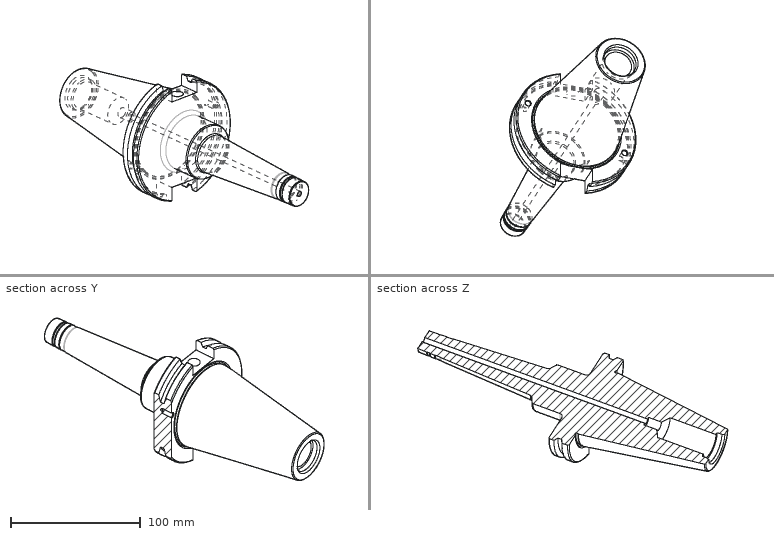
import cadquery as cq
import math

TAPER_RATIO = 7 / 24
GAUGE_X = 101.6
GAUGE_RADIUS = 35.0
SMALL_END_RADIUS = GAUGE_RADIUS - TAPER_RATIO * GAUGE_X / 2
SMALL_END_CHAMFER = 0.8
NECK_X = 102.5
NECK_RADIUS = 69.2 / 2

FLANGE_X = 103.2
FLANGE_WIDTH = 17.5
FLANGE_END_X = FLANGE_X + FLANGE_WIDTH
FLANGE_RADIUS = 49.0
FLANGE_CHAMFER = 1.0
GROOVE_X = 112.5
GROOVE_FLOOR_WIDTH = 3.3
GROOVE_RADIUS = 45.5
GROOVE_HALF_ANGLE = math.radians(26)
RECESS_DEPTH = 1.0
RECESS_FLOOR_RADIUS = 35.7
RECESS_RADIUS = 36.7
SLOT_WIDTH = 26.0
TOP_SLOT_HEIGHT = 37.5
BOTTOM_SLOT_HEIGHT = 35.2
DIMPLE_DIAMETER = 9.5
DRILL_POINT_ANGLE = math.radians(118)

COOLANT_PITCH_RADIUS = 42.0
COOLANT_ANGLE = 20
COOLANT_DIAMETER = 4.3
COOLANT_MOUTH_DIAMETER = 5.0
COOLANT_MOUTH_DEPTH = 0.8
OUTLET_DIAMETER = 3.3

COLLAR_RADIUS = 44.5 / 2
COLLAR_FILLET = 3.0
COLLAR_END_X = 148.0
COLLAR_EDGE_CHAMFER = 1.3
COLLAR_EDGE_DROP = 0.5
NOSE_X = 152.5
NOSE_ROOT_RADIUS = 15.3
NOSE_ROOT_FLARE_X = 151.0
NOSE_ROOT_FLARE_RADIUS = 16.0
NOSE_END_X = 231.2
NOSE_END_RADIUS = 22.0 / 2
LENGTH = 251.5
TIP_RADIUS = 10.3
TIP_CHAMFER = 0.5
RING_DEPTH = 0.3
RING_FLANK = 0.8
WIDE_RING_END_X = 236.8
NARROW_RING_X = 240.5
NARROW_RING_END_X = 243.5

MOUTH_RADIUS = 14.0
MOUTH_CHAMFER_DEPTH = 2.0
COUNTERBORE_RADIUS = 26.2 / 2
COUNTERBORE_DEPTH = 6.0
BORE_RADIUS = 22.0 / 2
BORE_DEPTH = 45.3
PILOT_RADIUS = 8.0 / 2
PILOT_DEPTH = 60.5
THROUGH_RADIUS = 4.3 / 2


def drill_point_length(large_radius, small_radius=0.0):
    """Axial length of the cone that a drill leaves between two radii."""
    return (large_radius - small_radius) / math.tan(DRILL_POINT_ANGLE / 2)


def revolve_about_x(outline):
    return outline.close().revolve(360, (0, 0, 0), (1, 0, 0))


def make_body():
    wall = (FLANGE_RADIUS - GROOVE_RADIUS) * math.tan(GROOVE_HALF_ANGLE)
    groove_left = GROOVE_X - GROOVE_FLOOR_WIDTH / 2
    groove_right = GROOVE_X + GROOVE_FLOOR_WIDTH / 2
    tip_slope = (NOSE_END_RADIUS - TIP_RADIUS) / (LENGTH - NOSE_END_X)

    def tip_radius_at(x):
        return NOSE_END_RADIUS - tip_slope * (x - NOSE_END_X)

    outline = (
        cq.Workplane("XY")
        .moveTo(0, 0)
        .lineTo(0, SMALL_END_RADIUS - SMALL_END_CHAMFER)
        .lineTo(SMALL_END_CHAMFER, SMALL_END_RADIUS + TAPER_RATIO * SMALL_END_CHAMFER / 2)
        .lineTo(GAUGE_X, GAUGE_RADIUS)
        .lineTo(NECK_X, NECK_RADIUS)
        .lineTo(FLANGE_X + RECESS_DEPTH, NECK_RADIUS)
        .lineTo(FLANGE_X + RECESS_DEPTH, RECESS_FLOOR_RADIUS)
        .lineTo(FLANGE_X, RECESS_RADIUS)
        .lineTo(FLANGE_X, FLANGE_RADIUS - FLANGE_CHAMFER)
        .lineTo(FLANGE_X + FLANGE_CHAMFER, FLANGE_RADIUS)
        .lineTo(groove_left - wall, FLANGE_RADIUS)
        .lineTo(groove_left, GROOVE_RADIUS)
        .lineTo(groove_right, GROOVE_RADIUS)
        .lineTo(groove_right + wall, FLANGE_RADIUS)
        .lineTo(FLANGE_END_X - FLANGE_CHAMFER, FLANGE_RADIUS)
        .lineTo(FLANGE_END_X, FLANGE_RADIUS - FLANGE_CHAMFER)
        .lineTo(FLANGE_END_X, COLLAR_RADIUS + COLLAR_FILLET)
        .radiusArc((FLANGE_END_X + COLLAR_FILLET, COLLAR_RADIUS), -COLLAR_FILLET)
        .lineTo(COLLAR_END_X - COLLAR_EDGE_CHAMFER, COLLAR_RADIUS)
        .lineTo(COLLAR_END_X, COLLAR_RADIUS - COLLAR_EDGE_DROP)
        .lineTo(NOSE_ROOT_FLARE_X, NOSE_ROOT_FLARE_RADIUS)
        .lineTo(NOSE_X, NOSE_ROOT_RADIUS)
    )
    for start, end in ((NOSE_END_X, WIDE_RING_END_X), (NARROW_RING_X, NARROW_RING_END_X)):
        floor_start = start + RING_FLANK
        floor_end = end - RING_FLANK
        outline = (
            outline.lineTo(start, tip_radius_at(start))
            .lineTo(floor_start, tip_radius_at(floor_start) - RING_DEPTH)
            .lineTo(floor_end, tip_radius_at(floor_end) - RING_DEPTH)
            .lineTo(end, tip_radius_at(end))
        )
    outline = (
        outline.lineTo(LENGTH - TIP_CHAMFER, tip_radius_at(LENGTH - TIP_CHAMFER))
        .lineTo(LENGTH, TIP_RADIUS - TIP_CHAMFER)
        .lineTo(LENGTH, 0)
    )
    return revolve_about_x(outline)


def make_bore():
    outline = (
        cq.Workplane("XY")
        .moveTo(0, 0)
        .lineTo(0, MOUTH_RADIUS)
        .lineTo(MOUTH_CHAMFER_DEPTH, COUNTERBORE_RADIUS)
        .lineTo(COUNTERBORE_DEPTH, COUNTERBORE_RADIUS)
        .lineTo(COUNTERBORE_DEPTH, BORE_RADIUS)
        .lineTo(BORE_DEPTH, BORE_RADIUS)
        .lineTo(BORE_DEPTH + drill_point_length(BORE_RADIUS, PILOT_RADIUS), PILOT_RADIUS)
        .lineTo(PILOT_DEPTH, PILOT_RADIUS)
        .lineTo(PILOT_DEPTH, THROUGH_RADIUS)
        .lineTo(LENGTH, THROUGH_RADIUS)
        .lineTo(LENGTH, 0)
    )
    return revolve_about_x(outline)


def make_slot(floor_z, side):
    """Drive slot across the flange, on the +Z (side = 1) or -Z (side = -1) half."""
    height = FLANGE_RADIUS
    return cq.Workplane("XY").box(FLANGE_WIDTH, SLOT_WIDTH, height).translate(
        (FLANGE_X + FLANGE_WIDTH / 2, 0, side * (floor_z + height / 2))
    )


def make_dimple():
    """Conical drill point in the floor of the top drive slot."""
    radius = DIMPLE_DIAMETER / 2
    depth = drill_point_length(radius)
    return cq.Workplane(
        cq.Solid.makeCone(
            radius, 0, depth, cq.Vector(GROOVE_X, 0, TOP_SLOT_HEIGHT), cq.Vector(0, 0, -1)
        )
    )


def make_coolant_hole(angle):
    """Hole from the flange face to the groove, met by a radial hole, turned about X."""
    along_x = cq.Vector(1, 0, 0)
    outward = cq.Vector(0, 1, 0)
    face_point = cq.Vector(FLANGE_X, COOLANT_PITCH_RADIUS, 0)
    mouth = cq.Solid.makeCone(
        COOLANT_MOUTH_DIAMETER / 2, COOLANT_DIAMETER / 2, COOLANT_MOUTH_DEPTH, face_point, along_x
    )
    axial = cq.Solid.makeCylinder(COOLANT_DIAMETER / 2, GROOVE_X - FLANGE_X, face_point, along_x)
    radial = cq.Solid.makeCylinder(
        OUTLET_DIAMETER / 2,
        FLANGE_RADIUS - COOLANT_PITCH_RADIUS,
        cq.Vector(GROOVE_X, COOLANT_PITCH_RADIUS, 0),
        outward,
    )
    hole = cq.Workplane(mouth).union(cq.Workplane(axial)).union(cq.Workplane(radial))
    return hole.rotate((0, 0, 0), (1, 0, 0), angle)


result = make_body().cut(make_bore())
result = result.cut(make_slot(TOP_SLOT_HEIGHT, 1)).cut(make_slot(BOTTOM_SLOT_HEIGHT, -1))
result = result.cut(make_dimple())
for half_turn in (0, 180):
    result = result.cut(make_coolant_hole(COOLANT_ANGLE + half_turn))